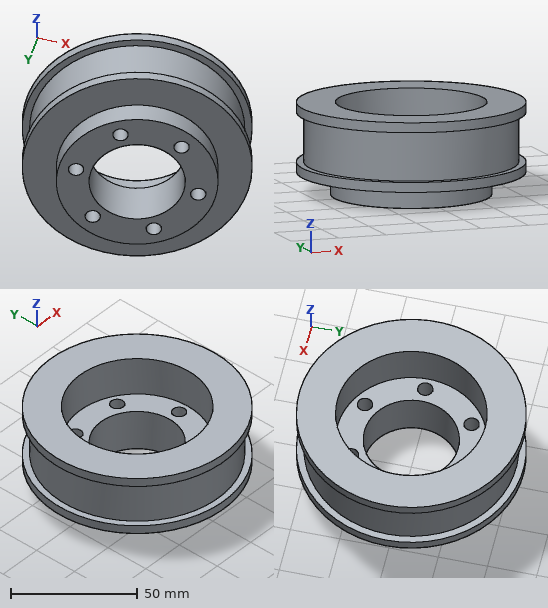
import cadquery as cq

hub_height = 9.0
flange_thickness = 4.0
groove_width = 20.0
recess_depth = 18.0

flange_diameter = 91.0
groove_diameter = 85.2
hub_diameter = 64.0
recess_diameter = 60.0
bore_diameter = 38.0

bolt_count = 6
bolt_hole_diameter = 6.0
bolt_circle_diameter = 50.0

lower_flange_base = hub_height
groove_base = lower_flange_base + flange_thickness
upper_flange_base = groove_base + groove_width
total_height = upper_flange_base + flange_thickness


def disc(diameter, base, height):
    """Solid cylinder on the Z axis, starting at the height `base`."""
    return cq.Workplane("XY").workplane(offset=base).circle(diameter / 2).extrude(height)


body = (
    disc(hub_diameter, 0, hub_height)
    .union(disc(flange_diameter, lower_flange_base, flange_thickness))
    .union(disc(groove_diameter, groove_base, groove_width))
    .union(disc(flange_diameter, upper_flange_base, flange_thickness))
)

recess = disc(recess_diameter, total_height - recess_depth, recess_depth)
bore = disc(bore_diameter, 0, total_height)

bolt_holes = (
    cq.Workplane("XY")
    .polarArray(bolt_circle_diameter / 2, 0, 360, bolt_count)
    .circle(bolt_hole_diameter / 2)
    .extrude(total_height)
)

result = body.cut(recess).cut(bore).cut(bolt_holes)